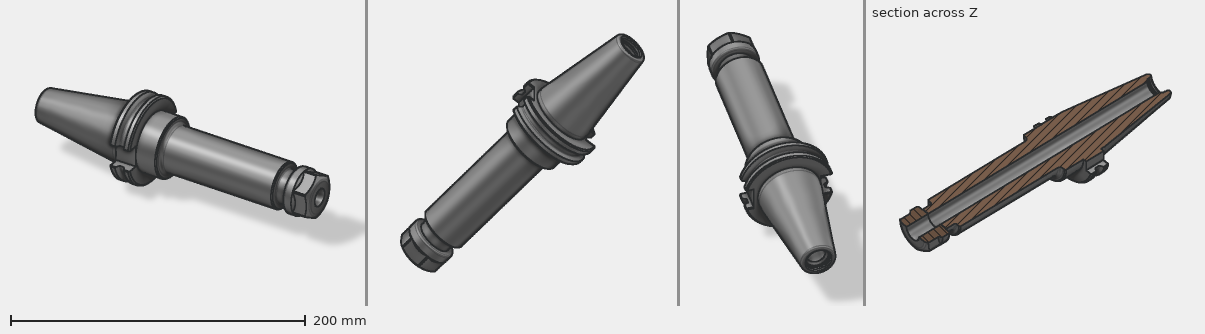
import cadquery as cq
import math

TOTAL_LENGTH = 220.7

GAUGE_DIAMETER = 44.4
GAUGE_X = 68.5
TAPER_RATIO = 7 / 24
SHANK_END_ROUND = 2.0

BORE_MOUTH_DIAMETER = 18.8
COUNTERBORE_DIAMETER = 16.8
COUNTERBORE_END_X = 2.9
THREAD_DIAMETER = 16.3
THREAD_END_X = 4.5
THROUGH_DIAMETER = 12.8

FLANGE_DIAMETER = 63.5
FLANGE_X = 71.5
FLANGE_WIDTH = 15.9
FLANGE_FRONT_CHAMFER = 0.9
FLANGE_REAR_CHAMFER = 1.0
GROOVE_ROOT_WIDTH = 3.3
GROOVE_DEPTH = 3.3
GROOVE_ROOT_ROUND = 0.9
GROOVE_FLANK_ANGLE = 30

SLOT_WIDTH = 16.0
SLOT_FLOOR_FRONT = 22.3
SLOT_FLOOR_BACK = 25.0
SLOT_EDGE_CHAMFER = 0.7

COLLAR_END_X = 103.5
COLLAR_CHAMFER = 0.9
TUBE_DIAMETER = 34.0
TUBE_END_X = 193.0
TUBE_CHAMFER = 0.9
TUBE_ROOT_ROUND = 2.5
NOSE_DIAMETER = 25.0
NOSE_ROOT_ROUND = 0.7

NUT_X = 201.5
NUT_DIAMETER = TUBE_DIAMETER
NUT_REAR_ROUND = 1.3
NUT_RIM_END_X = 208.3
HEX_ACROSS_FLATS = 29.8
HEX_CORNER_DIAMETER = 33.8
NUT_FACE_DIAMETER = 25.0
NUT_FACE_ROUND = 3.3
NUT_FACE_ANGLE = 30


def turned(outline):
    """Solid of revolution about X from a closed outline in the XY plane."""
    return outline.close().revolve(360, (0, 0, 0), (1, 0, 0))


def arc_bulge(radius):
    """Offset of a quarter arc's middle from the tangent lines at its ends."""
    return radius * (1 - math.sqrt(0.5))


def rod(x_start, x_end, diameter):
    return cq.Workplane("YZ", origin=(x_start, 0, 0)).circle(diameter / 2).extrude(x_end - x_start)


def make_shank():
    gauge_radius = GAUGE_DIAMETER / 2
    small_radius = gauge_radius - GAUGE_X * TAPER_RATIO / 2
    outline = (
        cq.Workplane("XY")
        .lineTo(0, small_radius)
        .lineTo(GAUGE_X, gauge_radius)
        .lineTo(FLANGE_X, gauge_radius)
        .lineTo(FLANGE_X, 0)
    )
    return turned(outline).faces("<X").edges().fillet(SHANK_END_ROUND)


def make_drive_slot(side, floor):
    """Cutter for one slot through the flange; side is -1 for -Y and +1 for +Y."""
    depth = FLANGE_DIAMETER / 2 - floor
    return cq.Workplane("XY").box(FLANGE_WIDTH, depth, SLOT_WIDTH).translate(
        (FLANGE_X + FLANGE_WIDTH / 2, side * (floor + depth / 2), 0)
    )


def make_gripper_groove():
    """Ring cutter with a trapezoid section and rounded root corners."""
    center_x = FLANGE_X + FLANGE_WIDTH / 2
    rim_radius = FLANGE_DIAMETER / 2
    root_radius = rim_radius - GROOVE_DEPTH
    half_root = GROOVE_ROOT_WIDTH / 2
    half_rim = half_root + GROOVE_DEPTH * math.tan(math.radians(GROOVE_FLANK_ANGLE))
    ring = turned(
        cq.Workplane("XY")
        .moveTo(center_x - half_root, root_radius)
        .lineTo(center_x + half_root, root_radius)
        .lineTo(center_x + half_rim, rim_radius)
        .lineTo(center_x - half_rim, rim_radius)
    )
    root_edges = cq.selectors.RadiusNthSelector(0)
    return ring.edges(root_edges).fillet(GROOVE_ROOT_ROUND)


def is_slot_edge(edge):
    """True for the front and mouth edges of the slot walls, not for floor or rear edges."""
    tolerance = 0.02
    center = edge.Center()
    on_wall = abs(abs(center.z) - SLOT_WIDTH / 2) < tolerance
    floor = SLOT_FLOOR_BACK if center.y > 0 else SLOT_FLOOR_FRONT
    above_floor = abs(center.y) > floor + tolerance
    before_rear = center.x < FLANGE_X + FLANGE_WIDTH - FLANGE_REAR_CHAMFER
    return on_wall and above_floor and before_rear


def make_flange():
    rear_x = FLANGE_X + FLANGE_WIDTH
    flange = rod(FLANGE_X, rear_x, FLANGE_DIAMETER)
    flange = flange.faces("<X").chamfer(FLANGE_FRONT_CHAMFER)
    flange = flange.faces(">X").chamfer(FLANGE_REAR_CHAMFER)
    for side, floor in ((-1, SLOT_FLOOR_FRONT), (1, SLOT_FLOOR_BACK)):
        flange = flange.cut(make_drive_slot(side, floor))
    flange = flange.edges().filter(is_slot_edge).chamfer(SLOT_EDGE_CHAMFER)
    return flange.cut(make_gripper_groove())


def make_body():
    """Collar, tube and nose ahead of the flange, as one turned piece."""
    collar_radius = GAUGE_DIAMETER / 2
    tube_radius = TUBE_DIAMETER / 2
    nose_radius = NOSE_DIAMETER / 2
    tube_bulge = arc_bulge(TUBE_ROOT_ROUND)
    nose_bulge = arc_bulge(NOSE_ROOT_ROUND)
    return turned(
        cq.Workplane("XY")
        .moveTo(FLANGE_X, 0)
        .lineTo(FLANGE_X, collar_radius)
        .lineTo(COLLAR_END_X - COLLAR_CHAMFER, collar_radius)
        .lineTo(COLLAR_END_X, collar_radius - COLLAR_CHAMFER)
        .lineTo(COLLAR_END_X, tube_radius + TUBE_ROOT_ROUND)
        .threePointArc(
            (COLLAR_END_X + tube_bulge, tube_radius + tube_bulge),
            (COLLAR_END_X + TUBE_ROOT_ROUND, tube_radius),
        )
        .lineTo(TUBE_END_X - TUBE_CHAMFER, tube_radius)
        .lineTo(TUBE_END_X, tube_radius - TUBE_CHAMFER)
        .lineTo(TUBE_END_X, nose_radius + NOSE_ROOT_ROUND)
        .threePointArc(
            (TUBE_END_X + nose_bulge, nose_radius + nose_bulge),
            (TUBE_END_X + NOSE_ROOT_ROUND, nose_radius),
        )
        .lineTo(NUT_X, nose_radius)
        .lineTo(NUT_X, 0)
    )


def make_bore():
    """Cutter for the drawbar bore: countersunk mouth, counterbore, thread and through hole."""
    mouth_radius = BORE_MOUTH_DIAMETER / 2
    counterbore_radius = COUNTERBORE_DIAMETER / 2
    thread_radius = THREAD_DIAMETER / 2
    through_radius = THROUGH_DIAMETER / 2
    countersink_depth = mouth_radius - counterbore_radius
    thread_runout = thread_radius - through_radius
    return turned(
        cq.Workplane("XY")
        .lineTo(0, mouth_radius)
        .lineTo(countersink_depth, counterbore_radius)
        .lineTo(COUNTERBORE_END_X, counterbore_radius)
        .lineTo(COUNTERBORE_END_X, thread_radius)
        .lineTo(THREAD_END_X, thread_radius)
        .lineTo(THREAD_END_X + thread_runout, through_radius)
        .lineTo(NUT_X, through_radius)
        .lineTo(NUT_X, 0)
    )


def make_holder():
    return make_shank().union(make_flange()).union(make_body()).cut(make_bore())


def make_nut():
    rim_radius = NUT_DIAMETER / 2
    corner_radius = HEX_CORNER_DIAMETER / 2
    face_radius = NUT_FACE_DIAMETER / 2
    face_depth = (corner_radius - face_radius) * math.tan(math.radians(NUT_FACE_ANGLE))
    inscribed_radius = HEX_ACROSS_FLATS / 2
    rim_cone_end_x = NUT_RIM_END_X + rim_radius - inscribed_radius

    hexagon = (
        cq.Workplane("YZ", origin=(NUT_RIM_END_X, 0, 0))
        .polygon(6, HEX_ACROSS_FLATS, circumscribed=True)
        .extrude(TOTAL_LENGTH - NUT_RIM_END_X)
    )
    hex_envelope = turned(
        cq.Workplane("XY")
        .moveTo(NUT_RIM_END_X, 0)
        .lineTo(NUT_RIM_END_X, corner_radius)
        .lineTo(TOTAL_LENGTH - face_depth, corner_radius)
        .lineTo(TOTAL_LENGTH, face_radius)
        .lineTo(TOTAL_LENGTH, 0)
    ).faces(">X").edges().fillet(NUT_FACE_ROUND)
    rim = turned(
        cq.Workplane("XY")
        .moveTo(NUT_X, 0)
        .lineTo(NUT_X, rim_radius)
        .lineTo(NUT_RIM_END_X, rim_radius)
        .lineTo(rim_cone_end_x, inscribed_radius)
        .lineTo(rim_cone_end_x, 0)
    ).faces("<X").edges().fillet(NUT_REAR_ROUND)
    bore = rod(NUT_X, TOTAL_LENGTH, THROUGH_DIAMETER)
    return rim.union(hexagon.intersect(hex_envelope)).cut(bore)


holder = make_holder()
nut = make_nut()

result = cq.Compound.makeCompound([holder.solids().val(), nut.solids().val()])